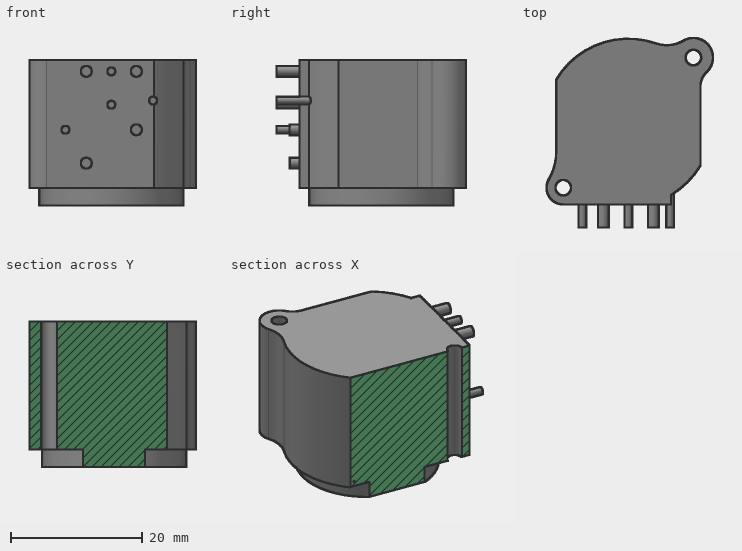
import cadquery as cq
import math

BODY_HEIGHT = 19.53
BODY_RADIUS = 12.78
FLAT_X = 11.0
STEP_X = 6.52

EAR_OFFSET = 9.9
LARGE_EAR_RADIUS = 3.0
SMALL_EAR_RADIUS = 2.57
HOLE_DIAMETER = 2.35

DOME_BLEND_RADIUS = 5.0
RIGHT_BLEND_RADIUS = 3.0
LEFT_BLEND_RADIUS = 8.0

BOSS_RADIUS = FLAT_X
BOSS_HEIGHT = 2.65

PIN_PITCH = 1.27
PIN_TOP_ROW = -1.75
SLIM_PIN_RADIUS = 0.6
THICK_PIN_RADIUS = 0.85
LONG_PIN = 3.5
SHORT_PIN = 1.5
PIN_ROOT = 2.3

FRONT_Y = -(EAR_OFFSET + SMALL_EAR_RADIUS)
ORIGIN = (0, 0)
LARGE_EAR = (EAR_OFFSET, EAR_OFFSET)
SMALL_EAR = (-EAR_OFFSET, -EAR_OFFSET)

SLIM_PINS = [(0, 0), (0, 4), (-5.5, 7), (5, 3.5)]
THICK_LONG_PINS = [(-3, 0), (3, 0)]
THICK_SHORT_PINS = [(3, 7), (-3, 11)]


def toward(center, target, radius):
    """Point on a circle in the direction of a target."""
    angle = math.atan2(target[1] - center[1], target[0] - center[0])
    return (center[0] + radius * math.cos(angle), center[1] + radius * math.sin(angle))


def arc_middle(center, start, end, radius):
    """Middle of the minor arc between two points on a circle."""
    return toward(center, ((start[0] + end[0]) / 2, (start[1] + end[1]) / 2), radius)


def dome_blend_center():
    """Center of the blend circle touching both the dome and the large ear."""
    from_axis = BODY_RADIUS + DOME_BLEND_RADIUS
    from_ear = LARGE_EAR_RADIUS + DOME_BLEND_RADIUS
    spacing = math.hypot(*LARGE_EAR)
    cosine = (from_axis**2 + spacing**2 - from_ear**2) / (2 * from_axis * spacing)
    angle = math.atan2(LARGE_EAR[1], LARGE_EAR[0]) + math.acos(cosine)
    return (from_axis * math.cos(angle), from_axis * math.sin(angle))


def side_blend_center(blend_radius, ear_radius):
    """Center of the blend touching the flat X = FLAT_X and an ear at LARGE_EAR."""
    x = FLAT_X + blend_radius
    drop = math.sqrt((ear_radius + blend_radius) ** 2 - (x - EAR_OFFSET) ** 2)
    return (x, EAR_OFFSET - drop)


def housing():
    dome_blend = dome_blend_center()
    right_blend = side_blend_center(RIGHT_BLEND_RADIUS, LARGE_EAR_RADIUS)
    mirrored_x, mirrored_y = side_blend_center(LEFT_BLEND_RADIUS, SMALL_EAR_RADIUS)
    left_blend = (-mirrored_x, -mirrored_y)

    flat_end_y = math.sqrt(BODY_RADIUS**2 - FLAT_X**2)
    step_corner = (STEP_X, -math.sqrt(BODY_RADIUS**2 - STEP_X**2))
    right_flat_bottom = (FLAT_X, -flat_end_y)
    right_flat_top = (FLAT_X, right_blend[1])
    large_ear_start = toward(LARGE_EAR, right_blend, LARGE_EAR_RADIUS)
    large_ear_end = toward(LARGE_EAR, dome_blend, LARGE_EAR_RADIUS)
    dome_start = toward(ORIGIN, dome_blend, BODY_RADIUS)
    left_flat_top = (-FLAT_X, flat_end_y)
    left_flat_bottom = (-FLAT_X, left_blend[1])
    small_ear_start = toward(SMALL_EAR, left_blend, SMALL_EAR_RADIUS)
    small_ear_end = (-EAR_OFFSET, FRONT_Y)

    arcs = {
        "corner": arc_middle(ORIGIN, step_corner, right_flat_bottom, BODY_RADIUS),
        "right": arc_middle(right_blend, right_flat_top, large_ear_start, RIGHT_BLEND_RADIUS),
        "large_ear": toward(LARGE_EAR, (2 * EAR_OFFSET, 2 * EAR_OFFSET), LARGE_EAR_RADIUS),
        "dome_blend": arc_middle(dome_blend, large_ear_end, dome_start, DOME_BLEND_RADIUS),
        "dome": arc_middle(ORIGIN, dome_start, left_flat_top, BODY_RADIUS),
        "left": arc_middle(left_blend, left_flat_bottom, small_ear_start, LEFT_BLEND_RADIUS),
        "small_ear": arc_middle(SMALL_EAR, small_ear_start, small_ear_end, SMALL_EAR_RADIUS),
    }
    return (
        cq.Workplane("XY")
        .moveTo(STEP_X, FRONT_Y)
        .lineTo(*step_corner)
        .threePointArc(arcs["corner"], right_flat_bottom)
        .lineTo(*right_flat_top)
        .threePointArc(arcs["right"], large_ear_start)
        .threePointArc(arcs["large_ear"], large_ear_end)
        .threePointArc(arcs["dome_blend"], dome_start)
        .threePointArc(arcs["dome"], left_flat_top)
        .lineTo(*left_flat_bottom)
        .threePointArc(arcs["left"], small_ear_start)
        .threePointArc(arcs["small_ear"], small_ear_end)
        .close()
        .extrude(-BODY_HEIGHT)
    )


def boss():
    return cq.Workplane("XY", origin=(0, 0, -BODY_HEIGHT)).circle(BOSS_RADIUS).extrude(-BOSS_HEIGHT)


def mounting_holes():
    return (
        cq.Workplane("XY")
        .pushPoints([LARGE_EAR, SMALL_EAR])
        .circle(HOLE_DIAMETER / 2)
        .extrude(-(BODY_HEIGHT + BOSS_HEIGHT))
    )


def pins(grid, radius, length):
    points = [(column * PIN_PITCH, PIN_TOP_ROW - row * PIN_PITCH) for column, row in grid]
    return (
        cq.Workplane("XZ", origin=(0, FRONT_Y + PIN_ROOT, 0))
        .pushPoints(points)
        .circle(radius)
        .extrude(PIN_ROOT + length)
    )


result = (
    housing()
    .union(boss())
    .cut(mounting_holes())
    .union(pins(SLIM_PINS, SLIM_PIN_RADIUS, LONG_PIN))
    .union(pins(THICK_LONG_PINS, THICK_PIN_RADIUS, LONG_PIN))
    .union(pins(THICK_SHORT_PINS, THICK_PIN_RADIUS, SHORT_PIN))
)